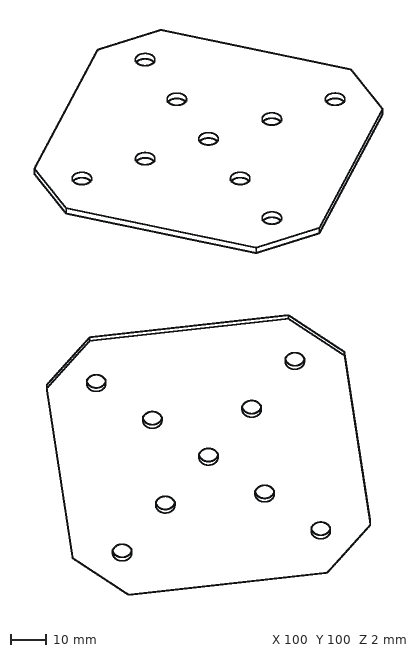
import cadquery as cq

plate_size = 100.0
plate_thickness = 2.0
hole_pitch = 20.0
hole_diameter = 5.5
holes_per_arm = 2

flat_length = hole_pitch
corner_cut = (plate_size - flat_length) / 2


def make_plate():
    """Square plate with its four upright corners cut at 45 degrees."""
    plate = cq.Workplane("XY").box(plate_size, plate_size, plate_thickness)
    return plate.edges("|Z").chamfer(corner_cut)


def cross_hole_centers():
    """Hole centers along the X and Y arms, sharing one center hole."""
    centers = [(0, 0)]
    for step in range(1, holes_per_arm + 1):
        reach = step * hole_pitch
        centers += [(reach, 0), (-reach, 0), (0, reach), (0, -reach)]
    return centers


result = make_plate().faces(">Z").workplane().pushPoints(cross_hole_centers()).hole(hole_diameter)